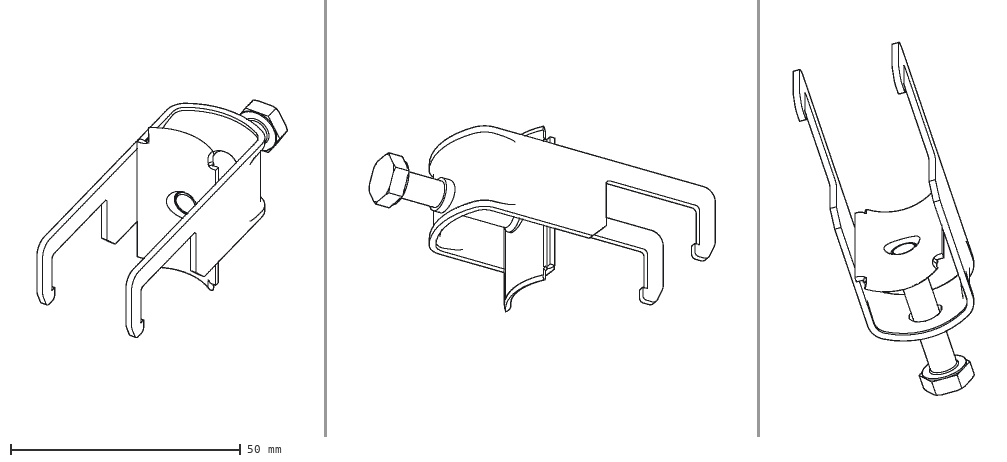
import cadquery as cq
import math


BRACKET_WIDTH = 24.0
BRACKET_SHEET = 1.5
CROWN_Y = 62.15
LEG_START_Y = 55.5
CROWN_RADIUS = 19.3
BRACKET_TOP_Z = 13.05
BRACKET_BOTTOM_Z = -7.1
BRACKET_MID_Z = (BRACKET_TOP_Z + BRACKET_BOTTOM_Z) / 2

EMBOSS_DEPTH = 0.9
EMBOSS_END_Y = 50.35
EMBOSS_OUTER_HALF = 8.5
EMBOSS_INNER_HALF = 9.4
EMBOSS_OUTER_FILLET = 0.9
EMBOSS_INNER_FILLET = 1.7
BLANK_HEIGHT = 3.85

ARM_END_Y = 27.5
ARM_CORNER_CHAMFER = 3.5
ARM_UNDERSIDE_Z = 7.8
HOOK_WIDTH = 4.0
HOOK_CATCH_Y = 5.2
HOOK_CATCH_Z = -1.8
HOOK_BOTTOM_Z = -4.8
HOOK_SLOPE_TOP_Z = -0.55
HOOK_SLOPE_RUN = 1.85
HOOK_TOP_RADIUS = 3.0
INNER_CORNER_RADIUS = 1.0
HOOK_TOE_RADIUS = 1.55

BOSS_DIAMETER = 7.5
BRACKET_BOSS_Y = 63.0
BORE_CHAMFER = 0.4

SHANK_DIAMETER = 6.0
HEAD_TOP_Y = 77.2
HEAD_BOTTOM_Y = 73.6
WASHER_BOTTOM_Y = 73.2
ACROSS_FLATS = 10.0
HEAD_CHAMFER_RADIUS = 5.3
HEAD_CHAMFER_ANGLE = 30.0
NECK_FLARE = 0.3
RIVET_DIAMETER = 5.5
RIVET_CHAMFER = 0.3
RIVET_END_Y = 43.2

SADDLE_CROWN_Y = 43.7
SADDLE_SHEET = 1.15
SADDLE_RADIUS = 14.3
SADDLE_HALF_ANGLE = 35.0
SADDLE_LENGTH = 38.45
LIP_BEND_RADIUS = 0.4
LIP_BEND_ANGLE = 75.0
SADDLE_BOSS_Y = 45.25
BOSS_TAPER_HEIGHT = 1.1
FLARE_HEIGHT = 0.9
POCKET_FLOOR_Y = 44.0
WING_LENGTH = 31.8
WING_WIDTH = 19.9
WING_TOP_Y = 40.45
WING_BEND_X = 9.35
WING_ROOT_X = 8.5
GUSSET_SIZE = 0.5


def turned(profile):
    """Solid of revolution about the screw axis, from (radius, y) points; the axis side is closed."""
    points = [(0, profile[0][1]), *profile, (0, profile[-1][1])]
    return cq.Workplane("XY").polyline(points).close().revolve(360, (0, 0), (0, 1))


def cylinder(radius, y_start, y_end):
    """Cylinder along the screw axis."""
    return turned([(radius, y_start), (radius, y_end)])


def centred_extrusion(outline, height):
    """Extrusion of an XY outline, centred on Z = 0."""
    return outline.extrude(height).translate((0, 0, -height / 2))


def arch_outline(inset, leg_slant=0.0):
    """Closed outline of the bracket arch, inset from its outer face, with its legs slanted outwards."""
    half = BRACKET_WIDTH / 2
    centre_y = CROWN_Y - CROWN_RADIUS
    rise = LEG_START_Y - centre_y
    corner_radius = (CROWN_RADIUS**2 - half**2 - rise**2) / (2 * (CROWN_RADIUS - half))
    corner_x = half - corner_radius
    crown_angle = math.atan2(rise, corner_x)

    def corner_point(angle):
        reach = corner_radius - inset
        return corner_x + reach * math.cos(angle), LEG_START_Y + reach * math.sin(angle)

    leg_top = corner_point(0)
    bend_middle = corner_point(crown_angle / 2)
    bend_end = corner_point(crown_angle)
    leg_foot_x = leg_top[0] + leg_top[1] * math.tan(leg_slant)
    return (
        cq.Workplane("XY")
        .moveTo(leg_foot_x, 0)
        .lineTo(*leg_top)
        .threePointArc(bend_middle, bend_end)
        .threePointArc((0, CROWN_Y - inset), (-bend_end[0], bend_end[1]))
        .threePointArc((-bend_middle[0], bend_middle[1]), (-leg_top[0], leg_top[1]))
        .lineTo(-leg_foot_x, 0)
        .close()
    )


def arch_block(inset):
    """Solid filling the arch out to the given inset, over the full bracket height."""
    height = BRACKET_TOP_Z - BRACKET_BOTTOM_Z
    return arch_outline(inset).extrude(height).translate((0, 0, BRACKET_BOTTOM_Z))


def waisted_block(inset, half_height, fillet):
    """Tall block narrowed, within the embossed band, to the tapered arch of the emboss."""
    slant = math.atan2(EMBOSS_DEPTH, LEG_START_Y - EMBOSS_END_Y)
    waist = centred_extrusion(arch_outline(inset + EMBOSS_DEPTH, slant), 2 * half_height)
    blank_size = 3 * BRACKET_WIDTH
    blank = cq.Workplane("XY").rect(blank_size, 2 * blank_size).extrude(BLANK_HEIGHT)
    block = waist
    for blank_z in (half_height, -half_height - BLANK_HEIGHT):
        block = block.union(blank.translate((0, 0, blank_z)))
    seams = cq.selectors.BoxSelector(
        (-BRACKET_WIDTH, BRACKET_SHEET, -half_height - BRACKET_SHEET),
        (BRACKET_WIDTH, CROWN_Y, half_height + BRACKET_SHEET),
    )
    block = block.edges("not |Z").edges(seams).fillet(fillet)
    return block.translate((0, 0, BRACKET_MID_Z))


def side_outline():
    """Bracket silhouette across X: wide arms, then a slim hook at the end of each."""
    outline = (
        cq.Workplane("YZ")
        .moveTo(CROWN_Y, BRACKET_TOP_Z)
        .lineTo(0, BRACKET_TOP_Z)
        .lineTo(0, HOOK_SLOPE_TOP_Z)
        .lineTo(HOOK_SLOPE_RUN, HOOK_BOTTOM_Z)
        .lineTo(HOOK_CATCH_Y, HOOK_BOTTOM_Z)
        .lineTo(HOOK_CATCH_Y, HOOK_CATCH_Z)
        .lineTo(HOOK_WIDTH, HOOK_CATCH_Z)
        .lineTo(HOOK_WIDTH, ARM_UNDERSIDE_Z)
        .lineTo(ARM_END_Y, ARM_UNDERSIDE_Z)
        .lineTo(ARM_END_Y, BRACKET_BOTTOM_Z + ARM_CORNER_CHAMFER)
        .lineTo(ARM_END_Y + ARM_CORNER_CHAMFER, BRACKET_BOTTOM_Z)
        .lineTo(CROWN_Y, BRACKET_BOTTOM_Z)
        .close()
        .extrude(BRACKET_WIDTH / 2, both=True)
    )

    def round_corner(solid, y, z, radius):
        corner = cq.selectors.NearestToPointSelector((0, y, z))
        return solid.edges("|X").edges(corner).fillet(radius)

    outline = round_corner(outline, 0, BRACKET_TOP_Z, HOOK_TOP_RADIUS)
    outline = round_corner(outline, 0, HOOK_SLOPE_TOP_Z, HOOK_TOP_RADIUS)
    outline = round_corner(outline, HOOK_SLOPE_RUN, HOOK_BOTTOM_Z, HOOK_TOE_RADIUS)
    outline = round_corner(outline, HOOK_CATCH_Y, HOOK_BOTTOM_Z, INNER_CORNER_RADIUS)
    outline = round_corner(outline, HOOK_WIDTH, ARM_UNDERSIDE_Z, INNER_CORNER_RADIUS)
    return round_corner(outline, ARM_END_Y, ARM_UNDERSIDE_Z, INNER_CORNER_RADIUS)


def make_bracket():
    outside = arch_block(0).intersect(waisted_block(0, EMBOSS_OUTER_HALF, EMBOSS_OUTER_FILLET))
    inner_waist = waisted_block(BRACKET_SHEET, EMBOSS_INNER_HALF, EMBOSS_INNER_FILLET)
    inside = arch_block(BRACKET_SHEET).intersect(inner_waist)
    sheet = outside.cut(inside).intersect(side_outline())

    bore_mouth_y = CROWN_Y - EMBOSS_DEPTH - BRACKET_SHEET
    boss_root_y = bore_mouth_y + BRACKET_SHEET / 2
    boss = cylinder(BOSS_DIAMETER / 2, boss_root_y, BRACKET_BOSS_Y)
    bore_radius = SHANK_DIAMETER / 2
    flare_radius = bore_radius + 2 * BORE_CHAMFER
    bore = turned([
        (flare_radius, bore_mouth_y - BORE_CHAMFER),
        (bore_radius, bore_mouth_y + BORE_CHAMFER),
        (bore_radius, BRACKET_BOSS_Y),
    ])
    return sheet.union(boss).cut(bore)


def saddle_shell():
    """Curved sheet with its two Z ends bent outwards into lips."""
    inner = SADDLE_RADIUS - SADDLE_SHEET
    bend_outer = LIP_BEND_RADIUS + SADDLE_SHEET
    bend = math.radians(LIP_BEND_ANGLE)
    bend_z = SADDLE_LENGTH / 2 - bend_outer * math.sin(bend)
    bend_r = inner + bend_outer

    def bend_point(radius, angle):
        return bend_r - radius * math.cos(angle), bend_z + radius * math.sin(angle)

    def mirrored(point):
        return point[0], -point[1]

    outer_middle = bend_point(bend_outer, bend / 2)
    outer_tip = bend_point(bend_outer, bend)
    inner_middle = bend_point(LIP_BEND_RADIUS, bend / 2)
    inner_tip = bend_point(LIP_BEND_RADIUS, bend)
    return (
        cq.Workplane("XZ")
        .moveTo(inner, -bend_z)
        .lineTo(inner, bend_z)
        .threePointArc(outer_middle, outer_tip)
        .lineTo(*inner_tip)
        .threePointArc(inner_middle, (SADDLE_RADIUS, bend_z))
        .lineTo(SADDLE_RADIUS, -bend_z)
        .threePointArc(mirrored(inner_middle), mirrored(inner_tip))
        .lineTo(*mirrored(outer_tip))
        .threePointArc(mirrored(outer_middle), (inner, -bend_z))
        .close()
        .revolve(2 * SADDLE_HALF_ANGLE, (0, 0), (0, 1))
        .rotate((0, 0, 0), (0, 0, 1), 90 - SADDLE_HALF_ANGLE)
        .translate((0, SADDLE_CROWN_Y - SADDLE_RADIUS, 0))
    )


def saddle_wing(side):
    """Flat strip along one long edge of the saddle, with a rounded bend at its root."""
    angle = math.radians(SADDLE_HALF_ANGLE)
    axis_y = SADDLE_CROWN_Y - SADDLE_RADIUS
    edge_x = side * WING_WIDTH / 2
    bottom_y = WING_TOP_Y - SADDLE_SHEET

    def sheet_end(radius):
        return side * radius * math.sin(angle), axis_y + radius * math.cos(angle)

    outline = (
        cq.Workplane("XY")
        .moveTo(*sheet_end(SADDLE_RADIUS))
        .lineTo(side * WING_ROOT_X, WING_TOP_Y)
        .lineTo(edge_x, WING_TOP_Y)
        .lineTo(edge_x, bottom_y)
        .lineTo(side * WING_BEND_X, bottom_y)
        .tangentArcPoint(sheet_end(SADDLE_RADIUS - SADDLE_SHEET), relative=False)
        .close()
    )
    return centred_extrusion(outline, WING_LENGTH)


def wing_gussets():
    """Small triangular webs on the right-hand sheet edge, beyond both ends of the wing."""
    angle = math.radians(SADDLE_HALF_ANGLE)
    inner = SADDLE_RADIUS - SADDLE_SHEET
    edge_y = SADDLE_CROWN_Y - SADDLE_RADIUS + inner * math.cos(angle)
    sheet_edge = cq.Plane(
        origin=(inner * math.sin(angle), edge_y, 0),
        xDir=(math.cos(angle), -math.sin(angle), 0),
        normal=(math.sin(angle), math.cos(angle), 0),
    )
    end = WING_LENGTH / 2
    triangle = [(0, end), (GUSSET_SIZE, end), (0, end + GUSSET_SIZE)]
    gusset = cq.Workplane(sheet_edge).polyline(triangle).close().extrude(SADDLE_SHEET)
    return [gusset, gusset.mirror("XY")]


def saddle_body():
    """Curved sheet with both wings and the gussets at their ends."""
    body = saddle_shell()
    for side in (-1, 1):
        body = body.union(saddle_wing(side))
    for gusset in wing_gussets():
        body = body.union(gusset).union(gusset.mirror("YZ"))
    return body


def saddle():
    """Saddle with its tapered boss, and the flared pocket around the rivet end."""
    inner_crown_y = SADDLE_CROWN_Y - SADDLE_SHEET
    boss_radius = BOSS_DIAMETER / 2
    boss = turned([
        (boss_radius, WING_TOP_Y),
        (boss_radius, SADDLE_BOSS_Y - BOSS_TAPER_HEIGHT),
        (SHANK_DIAMETER / 2, SADDLE_BOSS_Y),
    ])
    hollow = cq.Workplane("XY", origin=(0, SADDLE_CROWN_Y - SADDLE_RADIUS, 0))
    hollow = centred_extrusion(hollow.circle(SADDLE_RADIUS - SADDLE_SHEET), SADDLE_LENGTH)

    pocket_radius = SHANK_DIAMETER / 2
    slope = (boss_radius - pocket_radius) / BOSS_TAPER_HEIGHT
    flare_end_y = inner_crown_y + FLARE_HEIGHT
    flare_radius = pocket_radius + slope * (flare_end_y - WING_TOP_Y)
    pocket = turned([
        (flare_radius, WING_TOP_Y),
        (pocket_radius, flare_end_y),
        (pocket_radius, POCKET_FLOOR_Y),
    ])
    return saddle_body().union(boss.cut(hollow)).cut(pocket)


def screw():
    hexagon = cq.Workplane("XZ", origin=(0, HEAD_TOP_Y, 0))
    across_corners = ACROSS_FLATS / math.cos(math.pi / 6)
    head = hexagon.polygon(6, across_corners).extrude(HEAD_TOP_Y - HEAD_BOTTOM_Y)
    spread = (HEAD_TOP_Y - HEAD_BOTTOM_Y) / math.tan(math.radians(HEAD_CHAMFER_ANGLE))
    crown = turned([(HEAD_CHAMFER_RADIUS, HEAD_TOP_Y), (HEAD_CHAMFER_RADIUS + spread, HEAD_BOTTOM_Y)])

    washer_face = cylinder(ACROSS_FLATS / 2, WASHER_BOTTOM_Y, HEAD_BOTTOM_Y)
    shank_radius = SHANK_DIAMETER / 2
    shank = turned([
        (shank_radius, SADDLE_BOSS_Y),
        (shank_radius, WASHER_BOTTOM_Y - NECK_FLARE),
        (shank_radius + NECK_FLARE, WASHER_BOTTOM_Y),
    ])
    rivet_radius = RIVET_DIAMETER / 2
    rivet = turned([
        (rivet_radius - RIVET_CHAMFER, RIVET_END_Y),
        (rivet_radius, RIVET_END_Y + RIVET_CHAMFER),
        (rivet_radius, SADDLE_BOSS_Y),
    ])
    return head.intersect(crown).union(washer_face).union(shank).union(rivet)


def make_screw_with_saddle():
    return saddle().union(screw())


bracket = make_bracket()
screw_with_saddle = make_screw_with_saddle()

result = cq.Compound.makeCompound([bracket.solids().val(), screw_with_saddle.solids().val()])